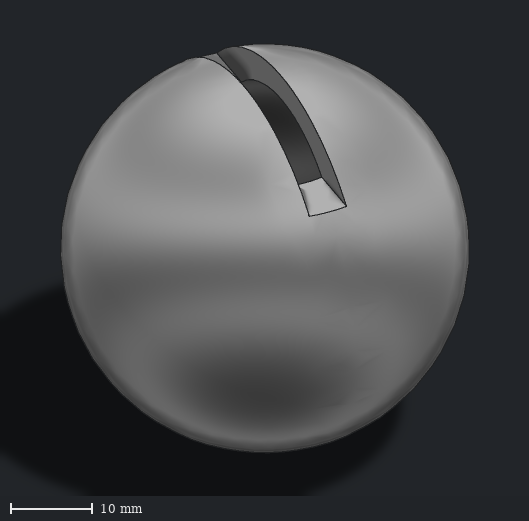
import cadquery as cq

outer_diameter = 50.0
cavity_radius = 16.6
cavity_center_z = 5.0
slot_width = 5.0
slot_center_y = -0.25
slot_floor_z = 17.0

outer_radius = outer_diameter / 2


def hollow_ball():
    """Ball with a spherical cavity raised towards the slot."""
    cavity = cq.Workplane("XY", origin=(0, 0, cavity_center_z)).sphere(cavity_radius)
    return cq.Workplane("XY").sphere(outer_radius).cut(cavity)


def coin_slot():
    """Flat-floored box that runs across the ball along X and opens upward."""
    return (
        cq.Workplane("XY", origin=(0, slot_center_y, slot_floor_z))
        .box(outer_diameter, slot_width, outer_radius, centered=(True, True, False))
    )


result = hollow_ball().cut(coin_slot())